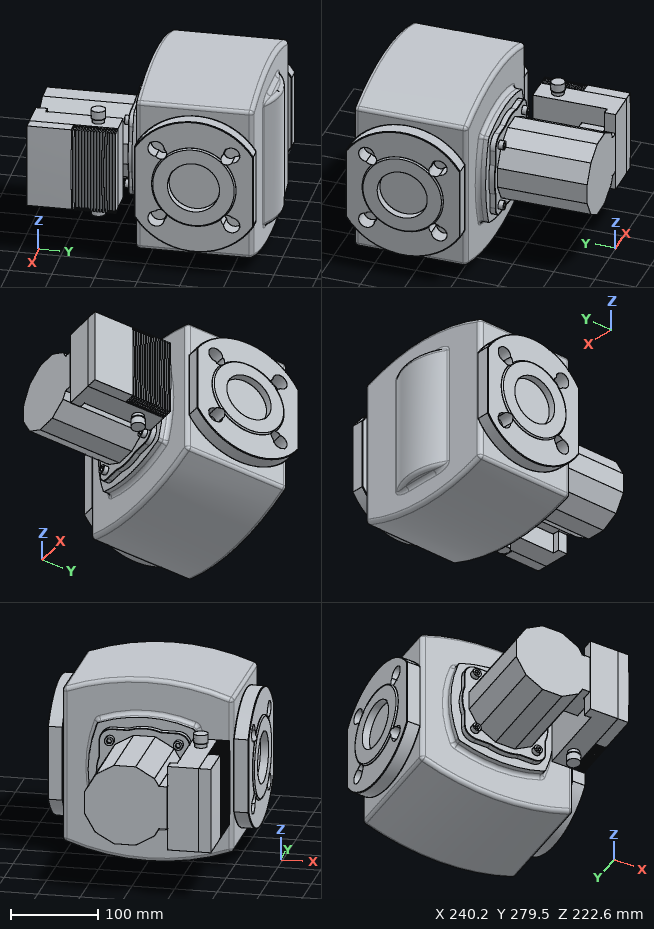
import cadquery as cq
import math


housing_half_length = 100.0
housing_rear_y = 66.0
housing_front_y = -72.0
housing_side_half_height = 92.5
housing_mid_half_height = 111.3
housing_round = 5.0

drum_radius = 80.0
drum_half_height = 79.0

seat_corner = 57.0
seat_half_width = 67.6
seat_height = 11.0

flange_radius = 82.5
flange_face_x = 118.0
flange_half_width = 69.5
flange_chamfer = 0.8
raised_face_radius = 49.5
raised_face_height = 2.1
raised_face_chamfer = 1.7
bore_radius = 30.5
bore_depth = 9.5
bolts_per_flange = 4
bolt_start_angle = 45
outer_bolt_circle_radius = 62.5
outer_bolt_hole_radius = 9.5
inner_bolt_circle_radius = 55.0
inner_bolt_hole_radius = 7.0

plate_half_width = 53.5
plate_lobe_radius = 56.7
plate_corner_radius = 15.0
plate_thickness = 7.3
plate_chamfer = 0.5

motor_sides = 12
motor_half_width = 47.5
arm_half_height = 25.7
arm_rear_y = -155.0
arm_gap = 0.8

screw_pitch = 80.8
screw_head_radius = 5.3
screw_head_height = 6.1
socket_sides = 6
socket_diameter = 6.5
socket_depth = 3.4

box_half_height = 50.5
box_inner_x = 58.7
box_outer_x = 86.7
box_rear_y = -95.3
foot_inner_x = 50.3
foot_rear_y = -186.0
cover_edge_x = 101.0
cover_mid_x = 101.5
fin_slot_count = 15
fin_span = 52.0
fin_slot_width = 1.7
first_slot_offset = 2.5
fin_web = 1.0

gland_x = 72.7
gland_y = -121.3
gland_neck_radius = 7.3
gland_neck_length = 5.0
gland_head_radius = 8.5
gland_head_length = 10.5

fin_pitch = fin_span / fin_slot_count
overall_depth = 279.5
flange_thickness = flange_face_x - housing_half_length
motor_front_y = drum_radius - overall_depth
seat_front_y = housing_front_y - seat_height
plate_front_y = seat_front_y - plate_thickness


def front_plane(y):
    """Sketch plane facing -Y at the given y: local x is X, local y is Z."""
    return cq.Workplane("XZ", origin=(0, y, 0))


def make_drum():
    """Drum with rounded rims, kept only behind the pipe axis."""
    drum = cq.Workplane("XY").circle(drum_radius).extrude(drum_half_height, both=True)
    drum = drum.edges("%CIRCLE").fillet(housing_round)
    rear_half = (
        cq.Workplane("XZ")
        .rect(2 * drum_radius, 2 * drum_half_height)
        .extrude(-drum_radius)
    )
    return drum.intersect(rear_half)


def make_shell():
    """Block with arched top and bottom, rounded on every edge."""
    side, top = housing_side_half_height, housing_mid_half_height
    shell = (
        front_plane(housing_rear_y)
        .moveTo(-housing_half_length, -side)
        .threePointArc((0, -top), (housing_half_length, -side))
        .lineTo(housing_half_length, side)
        .threePointArc((0, top), (-housing_half_length, side))
        .close()
        .extrude(housing_rear_y - housing_front_y)
    )
    return shell.edges().fillet(housing_round)


def add_motor_seat(shell):
    """Raise the four-arc seat on the front face and round its foot into the face."""
    c, w = seat_corner, seat_half_width
    seat = (
        front_plane(housing_front_y)
        .moveTo(-c, -c)
        .threePointArc((0, -w), (c, -c))
        .threePointArc((w, 0), (c, c))
        .threePointArc((0, w), (-c, c))
        .threePointArc((-w, 0), (-c, -c))
        .close()
        .extrude(seat_height)
        .edges("|Y")
        .fillet(housing_round)
    )
    margin = 0.3
    foot = cq.selectors.BoxSelector(
        (-w - margin, housing_front_y - margin, -w - margin),
        (w + margin, housing_front_y + margin, w + margin),
    )
    return shell.union(seat).edges(foot).fillet(housing_round)


def round_drum_root(housing):
    """Round the straight edges where the flat ends of the drum meet the back of the housing."""
    margin = 2.8
    roots = housing.edges(
        cq.selectors.BoxSelector(
            (-margin, housing_rear_y - margin, -drum_half_height - margin),
            (margin, housing_rear_y + margin, drum_half_height + margin),
        )
    )
    return roots.fillet(housing_round)


def bolt_holes(bolt_circle_radius, hole_radius):
    return (
        cq.Workplane("YZ", origin=(housing_half_length, 0, 0))
        .polarArray(bolt_circle_radius, bolt_start_angle, 360, bolts_per_flange)
        .circle(hole_radius)
        .extrude(flange_thickness + raised_face_height)
    )


def make_flange():
    """Flange on the +X side, with its raised face, keyhole bolt holes and blind bore."""
    disc = (
        cq.Workplane("YZ", origin=(housing_half_length, 0, 0))
        .circle(flange_radius)
        .extrude(flange_thickness)
    )
    between_flats = cq.Workplane("XY").box(
        3 * flange_face_x, 2 * flange_half_width, 2 * flange_radius
    )
    disc = disc.intersect(between_flats).faces("<X or >X").edges().chamfer(flange_chamfer)
    raised_face = (
        cq.Workplane("YZ", origin=(flange_face_x, 0, 0))
        .circle(raised_face_radius)
        .extrude(raised_face_height)
        .faces(">X")
        .chamfer(raised_face_chamfer)
    )
    bore = (
        cq.Workplane("YZ", origin=(flange_face_x + raised_face_height, 0, 0))
        .circle(bore_radius)
        .extrude(-bore_depth)
    )
    return (
        disc.union(raised_face)
        .cut(bore)
        .cut(bolt_holes(outer_bolt_circle_radius, outer_bolt_hole_radius))
        .cut(bolt_holes(inner_bolt_circle_radius, inner_bolt_hole_radius))
    )


def make_housing():
    housing = round_drum_root(add_motor_seat(make_shell()).union(make_drum()))
    flange = make_flange()
    return housing.union(flange).union(flange.mirror("YZ"))


def make_plate():
    """Rounded square with a circular lobe in the middle of each side."""
    square = (
        front_plane(seat_front_y)
        .rect(2 * plate_half_width, 2 * plate_half_width)
        .extrude(plate_thickness)
        .edges("|Y")
        .fillet(plate_corner_radius)
    )
    lobes = front_plane(seat_front_y).circle(plate_lobe_radius).extrude(plate_thickness)
    return square.union(lobes).faces("<Y").chamfer(plate_chamfer)


def make_motor():
    corner_diameter = 2 * motor_half_width / math.cos(math.pi / motor_sides)
    body = (
        front_plane(plate_front_y)
        .transformed(rotate=(0, 0, 180 / motor_sides))
        .polygon(motor_sides, corner_diameter)
        .extrude(plate_front_y - motor_front_y)
    )
    arm = (
        cq.Workplane("XY", origin=(0, 0, -arm_half_height))
        .moveTo(0, motor_front_y)
        .lineTo(foot_inner_x - arm_gap, motor_front_y)
        .lineTo(foot_inner_x - arm_gap, foot_rear_y + arm_gap)
        .lineTo(box_inner_x, foot_rear_y + arm_gap)
        .lineTo(box_inner_x, arm_rear_y)
        .lineTo(0, arm_rear_y)
        .close()
        .extrude(2 * arm_half_height)
    )
    return body.union(arm)


def make_screw(x, z):
    return (
        front_plane(plate_front_y)
        .center(x, z)
        .circle(screw_head_radius)
        .extrude(screw_head_height)
        .faces("<Y")
        .workplane()
        .polygon(socket_sides, socket_diameter)
        .cutBlind(-socket_depth)
    )


def make_gland():
    neck = (
        cq.Workplane("XY", origin=(gland_x, gland_y, box_half_height))
        .circle(gland_neck_radius)
        .extrude(gland_neck_length)
    )
    return neck.faces(">Z").workplane().circle(gland_head_radius).extrude(gland_head_length)


def make_box():
    """Control box with a foot beside the motor arm and a cable gland on the top and bottom."""
    box = (
        cq.Workplane("XY", origin=(0, 0, -box_half_height))
        .moveTo(box_inner_x, box_rear_y)
        .lineTo(box_outer_x, box_rear_y)
        .lineTo(box_outer_x, motor_front_y)
        .lineTo(foot_inner_x, motor_front_y)
        .lineTo(foot_inner_x, foot_rear_y)
        .lineTo(box_inner_x, foot_rear_y)
        .close()
        .extrude(2 * box_half_height)
    )
    gland = make_gland()
    return box.union(gland).union(gland.mirror("XY"))


def make_cover():
    """Cover with a slightly arched outer face and cooling slots over its rear half."""
    cover = (
        front_plane(box_rear_y)
        .moveTo(box_outer_x, -box_half_height)
        .lineTo(cover_edge_x, -box_half_height)
        .threePointArc((cover_mid_x, 0), (cover_edge_x, box_half_height))
        .lineTo(box_outer_x, box_half_height)
        .close()
        .extrude(box_rear_y - motor_front_y)
    )
    slot_length = cover_mid_x - box_outer_x
    for i in range(fin_slot_count):
        slot_y = box_rear_y - first_slot_offset - i * fin_pitch
        slot = cq.Workplane("XY").box(slot_length, fin_slot_width, 2 * box_half_height)
        slot_x = box_outer_x + fin_web + slot_length / 2
        cover = cover.cut(slot.translate((slot_x, slot_y, 0)))
    return cover


housing = make_housing()
plate = make_plate()
motor = make_motor()
control_box = make_box()
cover = make_cover()
screws = [
    make_screw(x_side * screw_pitch / 2, z_side * screw_pitch / 2)
    for x_side in (-1, 1)
    for z_side in (-1, 1)
]

result = cq.Compound.makeCompound(
    [
        *housing.solids().vals(),
        *plate.solids().vals(),
        *motor.solids().vals(),
        *control_box.solids().vals(),
        *cover.solids().vals(),
        *[screw.solids().val() for screw in screws],
    ]
)